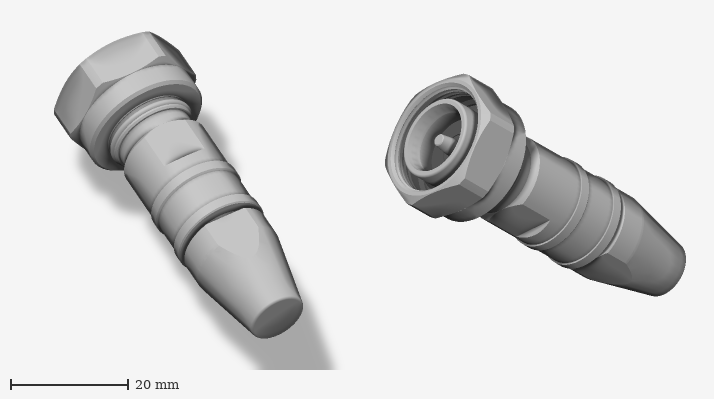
import cadquery as cq
import math


NUT_ACROSS_FLATS = 21.95
NUT_CORNER_DIAMETER = 24.5
NUT_CORNER_RADIUS = NUT_CORNER_DIAMETER / 2
NUT_TURN_ANGLE = 2.6
HEX_LENGTH = 7.55
HEX_FACE_RADIUS = 10.8
HEX_CHAMFER_LENGTH = 0.8
COLLAR_RADIUS = 10.95
COLLAR_CHAMFER = 0.5
NUT_LENGTH = 11.75
NUT_FLOOR_X = 7.85

THREAD_MINOR_RADIUS = 9.4
THREAD_MAJOR_RADIUS = 10.0
THREAD_PITCH = 1.0
THREAD_CREST = 0.4
THREAD_START_X = 0.45
THREAD_COUNT = 4
BORE_MOUTH_RADIUS = 10.2
BORE_MOUTH_END_RADIUS = 9.7
RELIEF_SLOPE_START_X = 6.7
RELIEF_END_X = 7.35

SOCKET_RADIUS = 7.35
SOCKET_RIM_FILLET = 0.4
SOCKET_MOUTH_RADIUS = 6.3
SOCKET_BORE_RADIUS = 5.7
SOCKET_TAPER_DEPTH = 2.5
SOCKET_DEPTH = 5.45
SOCKET_CONE_START_X = 4.65
SOCKET_CONE_END_X = 5.25
SOCKET_BASE_RADIUS = 7.9
FLANGE_RADIUS = 8.3
FLANGE_X = 6.7

RECESS_RADIUS = 2.95
RECESS_DEPTH = 0.2
PIN_RADIUS = 1.5
PIN_TIP_RADIUS = 0.95
PIN_TIP_CHAMFER = 0.2
PIN_TIP_X = 1.0
PIN_TAPER_END_X = 4.1

JOURNAL_RADIUS = 7.75
JOURNAL_END_X = 12.0
NECK_RADIUS = 7.55
NECK_CHAMFER_X = 14.0
NECK_END_X = 14.4
NECK_END_RADIUS = 7.35
BEAD_START_X = 12.6
BEAD_END_X = 13.7
BEAD_RADIUS = 7.9

FLAT_HEIGHT = 6.9
WAIST_RADIUS = FLAT_HEIGHT
BARREL_RADIUS = 8.0
BARREL_CONE_START_X = 16.8
BARREL_CONE_END_X = 17.9
BARREL_FLAT_END_X = 24.9
FLAT_END_RUN = 0.5
RING_RADIUS = 8.3
FIRST_RING_X = 28.2
FIRST_RING_LENGTH = 2.1
FIRST_RING_CHAMFER = RING_RADIUS - BARREL_RADIUS
SECOND_RING_X = 36.3
SECOND_RING_LENGTH = 1.9
SECOND_RING_CHAMFER = 0.25

GROOVE_RADIUS = 6.2
CLAMP_X = 39.2
CLAMP_CHAMFER = 0.2
CLAMP_CONE_X = 44.0
CLAMP_BLEND_RADIUS = 2.6
TAIL_RADIUS = 5.0
TAIL_FILLET = 0.45
TOTAL_LENGTH = 58.2


def revolve_about_x(outline):
    """Full turn of a closed outline drawn in XY as (length, radius)."""
    return outline.close().revolve(360, (0, 0, 0), (1, 0, 0))


def polygon_of_revolution(points):
    return revolve_about_x(cq.Workplane("XY").polyline(points))


def hex_head():
    """Turned hexagon whose corners are cut by a cylinder and a cone at each end."""
    hexagon = (
        cq.Workplane("YZ")
        .polygon(6, NUT_ACROSS_FLATS / math.cos(math.pi / 6))
        .extrude(HEX_LENGTH)
        .rotate((0, 0, 0), (1, 0, 0), NUT_TURN_ANGLE)
    )
    envelope = polygon_of_revolution([
        (0, 0),
        (0, HEX_FACE_RADIUS),
        (HEX_CHAMFER_LENGTH, NUT_CORNER_RADIUS),
        (HEX_LENGTH - HEX_CHAMFER_LENGTH, NUT_CORNER_RADIUS),
        (HEX_LENGTH, HEX_FACE_RADIUS),
        (HEX_LENGTH, 0),
    ])
    return hexagon.intersect(envelope)


def nut_bore():
    """Threaded bore, its tapered mouth and the hole in the nut floor."""
    groove_width = THREAD_PITCH - THREAD_CREST
    points = [(0, 0), (0, BORE_MOUTH_RADIUS), (THREAD_START_X, BORE_MOUTH_END_RADIUS)]
    for i in range(THREAD_COUNT):
        groove_x = THREAD_START_X + i * THREAD_PITCH
        points += [
            (groove_x + groove_width / 2, THREAD_MAJOR_RADIUS),
            (groove_x + groove_width, THREAD_MINOR_RADIUS),
            (groove_x + THREAD_PITCH, THREAD_MINOR_RADIUS),
        ]
    relief_x = THREAD_START_X + THREAD_COUNT * THREAD_PITCH
    points += [
        (relief_x, THREAD_MAJOR_RADIUS),
        (RELIEF_SLOPE_START_X, THREAD_MAJOR_RADIUS),
        (RELIEF_END_X, THREAD_MINOR_RADIUS),
        (NUT_FLOOR_X, THREAD_MINOR_RADIUS),
        (NUT_FLOOR_X, JOURNAL_RADIUS),
        (NUT_LENGTH, JOURNAL_RADIUS),
        (NUT_LENGTH, 0),
    ]
    return polygon_of_revolution(points)


def coupling_nut():
    collar = (
        cq.Workplane("YZ", origin=(HEX_LENGTH, 0, 0))
        .circle(COLLAR_RADIUS)
        .extrude(NUT_LENGTH - HEX_LENGTH)
        .faces(">X")
        .chamfer(COLLAR_CHAMFER)
    )
    return hex_head().union(collar).cut(nut_bore())


def body_blank():
    """Solid outside of the body, from the socket rim to the cable end."""
    fillet_offset = SOCKET_RIM_FILLET * (1 - math.sqrt(0.5))
    outline = (
        cq.Workplane("XY")
        .lineTo(0, SOCKET_RADIUS - SOCKET_RIM_FILLET)
        .threePointArc(
            (fillet_offset, SOCKET_RADIUS - fillet_offset),
            (SOCKET_RIM_FILLET, SOCKET_RADIUS),
        )
        .lineTo(SOCKET_CONE_START_X, SOCKET_RADIUS)
        .lineTo(SOCKET_CONE_END_X, SOCKET_BASE_RADIUS)
        .lineTo(FLANGE_X, SOCKET_BASE_RADIUS)
        .lineTo(FLANGE_X, FLANGE_RADIUS)
        .lineTo(NUT_FLOOR_X, FLANGE_RADIUS)
        .lineTo(NUT_FLOOR_X, JOURNAL_RADIUS)
        .lineTo(JOURNAL_END_X, JOURNAL_RADIUS)
        .lineTo(JOURNAL_END_X, NECK_RADIUS)
        .lineTo(BEAD_START_X, NECK_RADIUS)
        .threePointArc(
            ((BEAD_START_X + BEAD_END_X) / 2, BEAD_RADIUS),
            (BEAD_END_X, NECK_RADIUS),
        )
        .lineTo(NECK_CHAMFER_X, NECK_RADIUS)
        .lineTo(NECK_END_X, NECK_END_RADIUS)
        .lineTo(NECK_END_X, WAIST_RADIUS)
        .lineTo(BARREL_CONE_START_X, WAIST_RADIUS)
        .lineTo(BARREL_CONE_END_X, BARREL_RADIUS)
        .lineTo(SECOND_RING_X + SECOND_RING_LENGTH, BARREL_RADIUS)
        .lineTo(SECOND_RING_X + SECOND_RING_LENGTH, GROOVE_RADIUS)
        .lineTo(CLAMP_X, GROOVE_RADIUS)
        .lineTo(CLAMP_X, BARREL_RADIUS - CLAMP_CHAMFER)
        .lineTo(CLAMP_X + CLAMP_CHAMFER, BARREL_RADIUS)
        .lineTo(CLAMP_CONE_X, BARREL_RADIUS)
        .lineTo(TOTAL_LENGTH, TAIL_RADIUS)
        .lineTo(TOTAL_LENGTH, 0)
    )
    search_margin = 0.6
    cone_edge = cq.selectors.BoxSelector(
        (CLAMP_CONE_X - search_margin, -TOTAL_LENGTH, -TOTAL_LENGTH),
        (CLAMP_CONE_X + search_margin, TOTAL_LENGTH, TOTAL_LENGTH),
    )
    blank = revolve_about_x(outline)
    blank = blank.edges(cone_edge).edges("%CIRCLE").fillet(CLAMP_BLEND_RADIUS)
    return blank.faces(">X").edges().fillet(TAIL_FILLET)


def collar_ring(start_x, length, chamfer):
    return (
        cq.Workplane("YZ", origin=(start_x, 0, 0))
        .circle(RING_RADIUS)
        .extrude(length)
        .faces(">X")
        .chamfer(chamfer)
    )


def flat_cutter(start_x, end_x, end_run):
    """Waste above the upper flat; its rear end slopes outwards over end_run."""
    waste_top = FLAT_HEIGHT + BARREL_RADIUS
    end_slope = end_run / (BARREL_RADIUS - FLAT_HEIGHT)
    return (
        cq.Workplane("XZ")
        .polyline([
            (start_x, FLAT_HEIGHT),
            (end_x, FLAT_HEIGHT),
            (end_x + end_slope * BARREL_RADIUS, waste_top),
            (start_x, waste_top),
        ])
        .close()
        .extrude(BARREL_RADIUS, both=True)
    )


def socket_bore():
    return polygon_of_revolution([
        (0, 0),
        (0, SOCKET_MOUTH_RADIUS),
        (SOCKET_TAPER_DEPTH, SOCKET_BORE_RADIUS),
        (SOCKET_DEPTH, SOCKET_BORE_RADIUS),
        (SOCKET_DEPTH, RECESS_RADIUS),
        (SOCKET_DEPTH + RECESS_DEPTH, RECESS_RADIUS),
        (SOCKET_DEPTH + RECESS_DEPTH, 0),
    ])


def centre_pin():
    return polygon_of_revolution([
        (PIN_TIP_X, 0),
        (PIN_TIP_X, PIN_TIP_RADIUS),
        (PIN_TIP_X + PIN_TIP_CHAMFER, PIN_TIP_RADIUS + PIN_TIP_CHAMFER),
        (PIN_TAPER_END_X, PIN_RADIUS),
        (SOCKET_DEPTH + RECESS_DEPTH, PIN_RADIUS),
        (SOCKET_DEPTH + RECESS_DEPTH, 0),
    ])


def connector_body():
    body = body_blank()
    flat_cutters = [
        flat_cutter(BARREL_CONE_START_X, BARREL_FLAT_END_X, FLAT_END_RUN),
        flat_cutter(CLAMP_X, TOTAL_LENGTH, 0),
    ]
    for cutter in flat_cutters:
        body = body.cut(cutter).cut(cutter.mirror("XY"))
    body = body.union(collar_ring(FIRST_RING_X, FIRST_RING_LENGTH, FIRST_RING_CHAMFER))
    body = body.union(collar_ring(SECOND_RING_X, SECOND_RING_LENGTH, SECOND_RING_CHAMFER))
    return body.cut(socket_bore()).union(centre_pin())


nut = coupling_nut()
body = connector_body()

result = cq.Compound.makeCompound([nut.val(), body.val()])